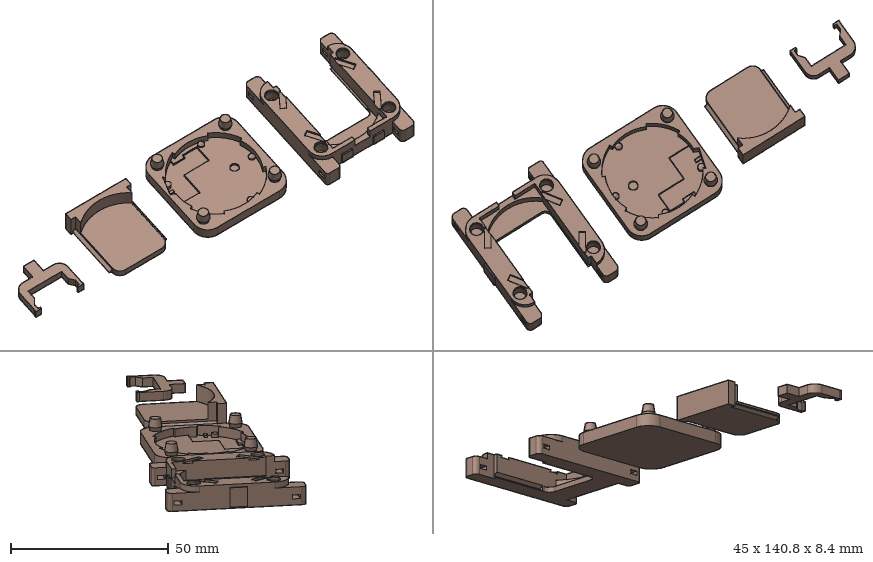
import cadquery as cq
import math

case_size = 35.0
case_half = case_size / 2
case_corner = 5.3
window_radius = 15.6
side_signs = (1, -1)

near_peg = (-13.4, 13.4)
far_peg = (12.4, 14.05)
peg_places = [(x, side * y) for x, y in (near_peg, far_peg) for side in side_signs]
socket_places = [(-x, y) for x, y in peg_places]

frame_y = 44.8
frame_width = 34.7
frame_half_width = frame_width / 2
frame_bottom = -0.4
frame_height = 8.0
arm_inner = 10.6
arm_start = -14.5
wall_inner = 16.0
ledge_height = 5.0
wall_gap_half = 3.0
floor_thickness = 1.7
floor_edge = 8.7
floor_corner = 2.4
ear_end = 22.49
short_ear_end = 22.15
ear_inner = 11.8
ear_height = 6.0
ear_corner = 1.5
short_ear_corner = 1.0
ear_slot_start = 17.9
ear_slot_end = 20.4
ear_slot_bottom = 2.1
ear_slot_top = 3.4
groove_end = 5.5
groove_height = 1.9
groove_depth = 1.3
socket_diameter = 4.3
socket_depth = 5.0
socket_ring_diameter = 4.6
socket_ring_level = 1.3
socket_ring_half = 0.7
relief_end = (6.0, 14.0)
relief_angle = 32.5
relief_width = 2.1
relief_length = 7.0
relief_depth = 0.7
pad_thickness = 0.52
side_pad_x = (-3.3, 2.4)
side_pad_z = (0.5, 7.0)
end_pad_y = (4.2, 8.2)
end_pad_z = (0.5, 4.5)


def box(x_range, y_range, z_range):
    """Axis-aligned block between pairs of limits given in either order."""
    x0, x1 = sorted(x_range)
    y0, y1 = sorted(y_range)
    z0, z1 = sorted(z_range)
    return cq.Workplane("XY").box(x1 - x0, y1 - y0, z1 - z0, centered=False).translate((x0, y0, z0))


def rounded_case(width, height):
    return cq.Workplane("XY").rect(case_size, width).extrude(height).edges("|Z").fillet(case_corner)


def frame_ear(x_side, y_side):
    """Lug along an arm; it overlaps the case and carries a slot for a strap bar."""
    is_short = x_side > 0 and y_side < 0
    end = short_ear_end if is_short else ear_end
    corner = short_ear_corner if is_short else ear_corner
    root = case_half - case_corner
    ear = box((x_side * root, x_side * end), (y_side * ear_inner, y_side * frame_half_width), (0, ear_height))
    ear = ear.edges("|Z and >X" if x_side > 0 else "|Z and <X").fillet(corner)
    slot = box(
        (x_side * ear_slot_start, x_side * ear_slot_end),
        (y_side * ear_inner, y_side * frame_half_width),
        (ear_slot_bottom, ear_slot_top),
    )
    return ear.cut(slot)


def rail_profile(half_width, reach, height):
    """Double V cross-section in Y and Z, with its points half way up."""
    return [
        (-half_width, 0),
        (half_width, 0),
        (half_width + reach, height / 2),
        (half_width, height),
        (-half_width, height),
        (-half_width - reach, height / 2),
    ]


def rail_bar(x_start, x_end, half_width, reach, height):
    profile = rail_profile(half_width, reach, height)
    return cq.Workplane("YZ").workplane(offset=x_start).polyline(profile).close().extrude(x_end - x_start)


def frame_opening():
    """Everything removed between the arms, from the open end to the end wall."""
    arm_gap = (-arm_inner, arm_inner)
    floor_cut = box((-case_half, floor_edge), arm_gap, (0, frame_height))
    floor_cut = floor_cut.edges("|Z and >X").fillet(floor_corner)
    window = cq.Workplane("XY").workplane(offset=floor_thickness).circle(window_radius)
    window = window.extrude(frame_height).intersect(
        box((arm_start, case_half), arm_gap, (0, frame_height))
    )
    above_ledge = box((0, wall_inner), arm_gap, (ledge_height, frame_height))
    wall_gap = box((0, case_half), (-wall_gap_half, wall_gap_half), (ledge_height, frame_height))
    mouth = box((-case_half, arm_start), (-ear_inner, ear_inner), (0, frame_height))
    grooves = rail_bar(arm_start, groove_end, arm_inner, groove_depth, groove_height)
    return floor_cut.union(window).union(above_ledge).union(wall_gap).union(mouth).union(grooves)


def peg_socket():
    """Blind hole, opening upward at the origin, with a V-shaped snap ring."""
    radius = socket_diameter / 2
    profile = [
        (0, 0),
        (radius, 0),
        (radius, -socket_ring_level + socket_ring_half),
        (socket_ring_diameter / 2, -socket_ring_level),
        (radius, -socket_ring_level - socket_ring_half),
        (radius, -socket_depth),
        (0, -socket_depth),
    ]
    return cq.Workplane("XZ").polyline(profile).close().revolve(360, (0, 0, 0), (0, 1, 0))


def relief_slot(x_side, y_side):
    """Shallow slanted slot from beside a socket to the inner face of the arm."""
    slot = box((0, relief_length), (-relief_width / 2, relief_width / 2), (-relief_depth, 0))
    slot = slot.rotate((0, 0, 0), (0, 0, 1), -relief_angle)
    slot = slot.translate((relief_end[0], relief_end[1], frame_height))
    if x_side < 0:
        slot = slot.mirror("YZ")
    if y_side < 0:
        slot = slot.mirror("XZ")
    return slot


def build_frame():
    frame = rounded_case(frame_width, frame_height)
    corners = [(x_side, y_side) for x_side in side_signs for y_side in side_signs]
    for x_side, y_side in corners:
        frame = frame.union(frame_ear(x_side, y_side))
    frame = frame.cut(frame_opening())
    for x_side, y_side in corners:
        frame = frame.cut(relief_slot(x_side, y_side))
    for x, y in socket_places:
        frame = frame.cut(peg_socket().translate((x, y, frame_height)))
    side_face = (frame_half_width - pad_thickness, frame_half_width + pad_thickness)
    frame = frame.union(box(side_pad_x, side_face, side_pad_z))
    for y_side in side_signs:
        pad_y = [y_side * y for y in end_pad_y]
        frame = frame.union(box((case_half, case_half + pad_thickness), pad_y, end_pad_z))
    return frame.translate((0, frame_y, frame_bottom))


base_y = -0.1
base_height = 4.0
recess_radius = 15.1
lobe_radius = 16.1
lobe_angle = 43.5
lobe_half_span = 20.0
recess_floor = 1.4
pocket_floor = 0.7
dimple_diameter = 3.0
dimple_y = 7.3
post_diameter = 2.3
post_top = 2.4
post_tip = 0.5
post_places = [(0, 14.1), (-13.5, 3.95), (13.55, 3.8)]
flat_post_place = (-6.9, -14.1)
notch_outline = [(-8.8, -14.6), (-1.8, -16.7), (-1.0, -15.0), (-3.5, -10.0)]
rib_x = (-4.5, -3.5)
rib_y = (-16.2, -13.8)
pocket_outline = [
    (-13.7, 2.4),
    (-7.0, 2.4),
    (-7.0, -7.45),
    (1.55, -7.45),
    (1.55, -case_half),
    (-case_half, -case_half),
    (-case_half, -7.6),
    (-12.5, -7.6),
    (-12.5, -3.2),
    (-13.7, -3.2),
]
peg_height = 4.0
peg_root_diameter = 3.62
peg_bulge_diameter = 4.3
peg_tip_diameter = 3.3
peg_bulge_level = 1.3


def polar(radius, degrees):
    angle = math.radians(degrees)
    return (radius * math.cos(angle), radius * math.sin(angle))


def recess_lobe(degrees):
    start = polar(lobe_radius, degrees - lobe_half_span)
    middle = polar(lobe_radius, degrees)
    end = polar(lobe_radius, degrees + lobe_half_span)
    outline = cq.Workplane("XY").lineTo(*start).threePointArc(middle, end).close()
    return outline.extrude(base_height)


def recess_prism():
    recess = cq.Workplane("XY").circle(recess_radius).extrude(base_height)
    for quarter in range(4):
        recess = recess.union(recess_lobe(lobe_angle + 90 * quarter))
    notch = cq.Workplane("XY").polyline(notch_outline).close().extrude(base_height)
    return recess.union(notch)


def snap_peg():
    profile = [
        (0, 0),
        (peg_root_diameter / 2, 0),
        (peg_bulge_diameter / 2, peg_bulge_level),
        (peg_tip_diameter / 2, peg_height),
        (0, peg_height),
    ]
    return cq.Workplane("XZ").polyline(profile).close().revolve(360, (0, 0, 0), (0, 1, 0))


def recess_post():
    """Round post with a conical tip, rooted in the bottom of the base."""
    radius = post_diameter / 2
    profile = [(0, 0), (radius, 0), (radius, post_top - post_tip), (0, post_top)]
    return cq.Workplane("XZ").polyline(profile).close().revolve(360, (0, 0, 0), (0, 1, 0))


def build_base():
    recess = recess_prism()
    pocket = cq.Workplane("XY").polyline(pocket_outline).close().extrude(base_height).intersect(recess)
    base = rounded_case(case_size, base_height)
    base = base.cut(recess.translate((0, 0, recess_floor)))
    base = base.cut(pocket.translate((0, 0, pocket_floor)))
    dimple = cq.Workplane("XY").center(0, dimple_y).circle(dimple_diameter / 2).extrude(base_height)
    base = base.cut(dimple.translate((0, 0, pocket_floor)))
    for x, y in post_places:
        base = base.union(recess_post().translate((x, y, 0)))
    flat_post = cq.Workplane("XY").center(*flat_post_place).circle(post_diameter / 2)
    base = base.union(flat_post.extrude(post_top - post_tip))
    base = base.union(box(rib_x, rib_y, (0, recess_floor)))
    for x, y in peg_places:
        base = base.union(snap_peg().translate((x, y, base_height)))
    return base.translate((0, base_y, 0))


slider_y = -38.05
slider_half_length = 12.9
slider_half_width = 10.1
slider_height = 8.0
slider_plate = 2.5
slider_corner = 3.0
flange_end = -10.0
flange_half_width = 11.85
rail_end = 9.9
rail_reach = 1.2
rail_height = 1.8
window_start = -10.85


def build_slider():
    plate_x = (-slider_half_length, slider_half_length)
    plate_y = (-slider_half_width, slider_half_width)
    slider = box(plate_x, plate_y, (0, slider_height)).edges("|Z and >X").fillet(slider_corner)
    window = cq.Workplane("XY").center(window_start + window_radius, 0).circle(window_radius)
    window = window.extrude(slider_height)
    right_of_window = box((0, 2 * window_radius), plate_y, (0, slider_height))
    flange_y = (-flange_half_width, flange_half_width)
    slider = slider.union(box((-slider_half_length, flange_end), flange_y, (0, slider_height)))
    slider = slider.cut(window.union(right_of_window).translate((0, 0, slider_plate)))
    rails = rail_bar(flange_end, rail_end, slider_half_width, rail_reach, rail_height)
    return slider.union(rails).translate((0, slider_y, 0))


clip_y = -68.77
clip_thickness = 3.0
clip_half_width = 9.3
clip_tip_half_width = 9.4
clip_corner = 3.3
clip_back = -1.9
clip_front = 1.8
clip_tip = 9.9
tab_end = -7.0
tab_half_width = 2.1
clip_thick_inner = 6.6
clip_thin_inner = 8.1
clip_taper = (5.3, 7.2)
hook_start = 9.2
hook_inner = 7.2


def build_clip():
    body = box((clip_back, clip_tip), (-clip_half_width, clip_half_width), (0, clip_thickness))
    body = body.edges("|Z and <X").fillet(clip_corner)
    half_gap = [
        (clip_front, clip_thick_inner),
        (clip_taper[0], clip_thick_inner),
        (clip_taper[1], clip_thin_inner),
        (hook_start, clip_thin_inner),
        (hook_start, hook_inner),
        (clip_tip, hook_inner),
    ]
    gap_outline = half_gap + [(x, -y) for x, y in reversed(half_gap)]
    gap = cq.Workplane("XY").polyline(gap_outline).close().extrude(clip_thickness)
    tab = box((tab_end, clip_front), (-tab_half_width, tab_half_width), (0, clip_thickness))
    tips = box((hook_start, clip_tip), (-clip_tip_half_width, clip_tip_half_width), (0, clip_thickness))
    return body.union(tab).union(tips).cut(gap).translate((0, clip_y, 0))


frame = build_frame()
base = build_base()
slider = build_slider()
clip = build_clip()

result = cq.Compound.makeCompound([frame.val(), base.val(), slider.val(), clip.val()])